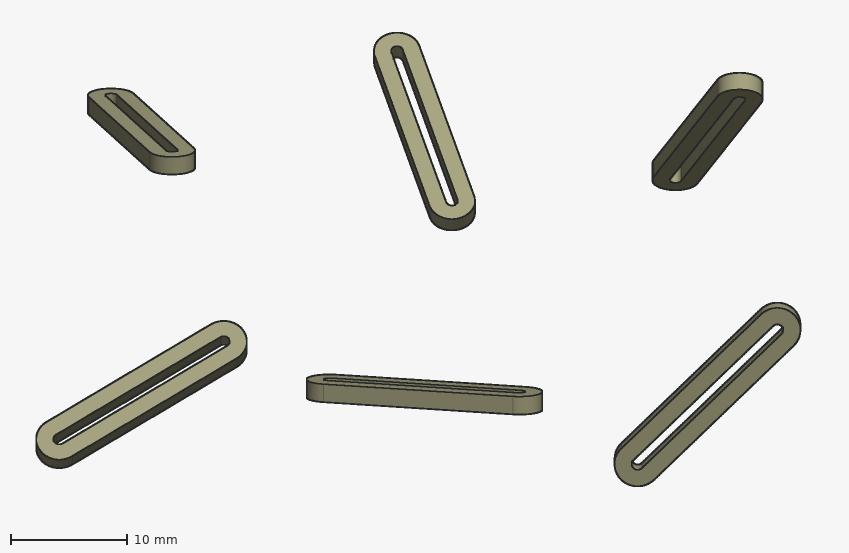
import cadquery as cq

length = 21.0
width = 4.0
thickness = 1.6
slot_width = 1.0

wall = (width - slot_width) / 2
slot_length = length - 2 * wall


def rounded_bar(bar_length, bar_width):
    """Flat bar with full-round ends, centred along X and resting on Z = 0."""
    return cq.Workplane("XY").slot2D(bar_length, bar_width).extrude(thickness)


body = rounded_bar(length, width)
through_slot = rounded_bar(slot_length, slot_width)

result = body.cut(through_slot)